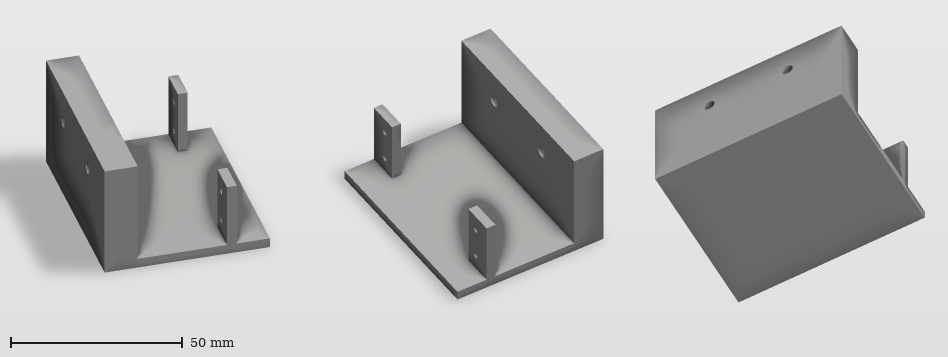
import cadquery as cq

width = 62.0
depth = 50.0
height = 35.0

base_thickness = 3.0
wall_thickness = 10.0
wall_hole_diameter = 3.5
wall_hole_spacing = 26.0
wall_hole_height = 25.0

tab_width = 10.0
tab_thickness = 3.0
tab_height = 20.0
tab_back_setback = 10.0
tab_hole_diameter = 2.0
tab_hole_spacing = 10.0
tab_hole_edge_distance = 6.0

tab_front_y = depth - tab_back_setback - tab_thickness
tab_center_z = base_thickness + tab_height / 2
tab_hole_heights = [
    tab_center_z - tab_hole_spacing / 2,
    tab_center_z + tab_hole_spacing / 2,
]


def corner_box(x_size, y_size, z_size, origin=(0, 0, 0)):
    """Box whose left, front, bottom corner sits at origin."""
    return cq.Workplane("XY").box(x_size, y_size, z_size, centered=False).translate(origin)


def hole_along_y(diameter, x, z, start_y, length):
    """Cylinder running toward +Y from start_y, for cutting a hole."""
    center = cq.Vector(x, start_y, z)
    return cq.Workplane(cq.Solid.makeCylinder(diameter / 2, length, center, cq.Vector(0, 1, 0)))


def make_bracket_body():
    """Base plate with the thick wall along its front edge."""
    base = corner_box(width, depth, base_thickness)
    wall = corner_box(width, wall_thickness, height)
    body = base.union(wall)
    for side in (-1, 1):
        hole_x = width / 2 + side * wall_hole_spacing / 2
        body = body.cut(hole_along_y(wall_hole_diameter, hole_x, wall_hole_height, 0, wall_thickness))
    return body


def make_tab(left_x, hole_x):
    """Upright tab on the base plate with two through holes, one above the other."""
    tab = corner_box(tab_width, tab_thickness, tab_height, (left_x, tab_front_y, base_thickness))
    for hole_z in tab_hole_heights:
        tab = tab.cut(hole_along_y(tab_hole_diameter, hole_x, hole_z, tab_front_y, tab_thickness))
    return tab


left_tab = make_tab(0, tab_hole_edge_distance)
right_tab = make_tab(width - tab_width, width - tab_hole_edge_distance)

result = make_bracket_body().union(left_tab).union(right_tab)